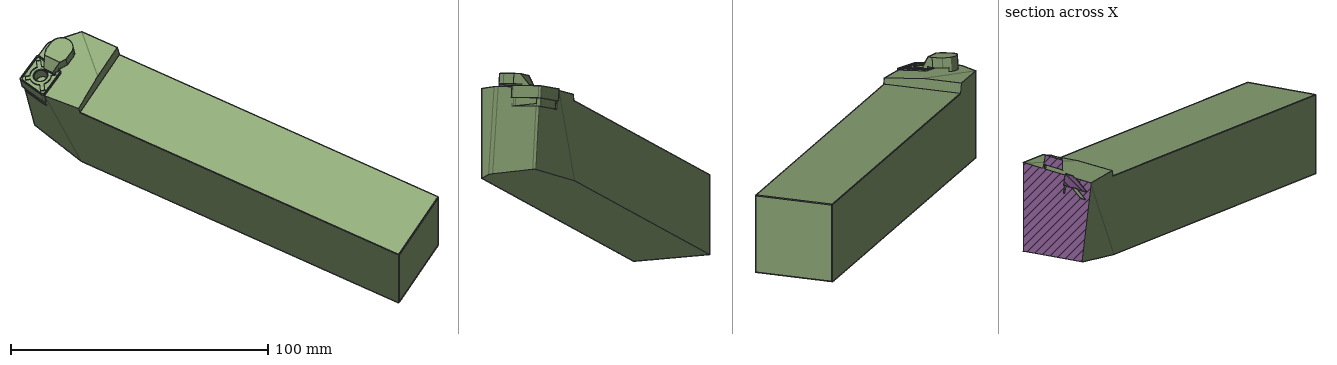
import cadquery as cq
import math

LENGTH = 170.0
WIDTH = 32.0
SHANK_HEIGHT = 32.0
HEAD_HEIGHT = 35.9
STEP_TOP_X = 27.2
STEP_FOOT_X = 28.2
END_CHAMFER = 0.3
LONG_CHAMFER = 0.2

LEAD_X = 3.9
LEAD_ANGLE = 5.0
FLANK_X = 28.9
FLANK_ANGLE = 15.0
FLANK_RELIEF = 0.5
BEVEL_X = 11.4
BACK_CORNER_RADIUS = 3.4
TIP_CORNER_RADIUS = 1.0

TILT = math.tan(math.radians(6))
RIDGE_SUM = BEVEL_X + WIDTH
TILT_ORIGIN_Z = HEAD_HEIGHT - TILT * RIDGE_SUM

INSERT_X = 6.8
INSERT_Y = 7.5
INSERT_CIRCLE = 12.7
INSERT_ACUTE = 80.0
INSERT_AXIS_ANGLE = -55.0
INSERT_THICKNESS = 4.8
INSERT_CORNER_RADIUS = 0.8
INSERT_TOP = 0.5
INSERT_HOLE = 5.1
HOLE_CHAMFER = 0.3
LAND_WIDTH = 0.5
GROOVE_DEPTH = 0.3
BOSS_DIAMETER = 8.5
LONG_RIDGE = 14.3
SHORT_RIDGE = 11.9
RIDGE_WIDTH = 1.7
SHIM_THICKNESS = 3.2
SHIM_INSET = 0.5
SHIM_SEAT_INSET = 0.3
SHIM_CORNER_RADIUS = 1.4

CLAMP_X = 10.4
CLAMP_Y = 20.2
CLAMP_HEIGHT = 5.6
CLAMP_HALF_WIDTH = 4.8
BACK_ARC_RISE = 3.7
SHOULDER_REACH = 4.5
SLOPE_REACH = 6.8
NOSE_REACH = 10.2
NOSE_LEFT = -2.5
NOSE_RIGHT = 1.5
NOSE_BASE = 1.5
RELIEF_FRONT = 7.5
RELIEF_BACK = 2.0
RELIEF_DEPTH = 1.5

insert_bottom = INSERT_TOP - INSERT_THICKNESS
shim_bottom = insert_bottom - SHIM_THICKNESS


def tilted_plane(height):
    """Work plane parallel to the tilted face, at a height along its normal."""
    face = cq.Plane((0, 0, TILT_ORIGIN_Z), (1, 0, TILT), (-TILT, -TILT, 1))
    return cq.Workplane(face).workplane(offset=height)


def head_outline(z):
    """Plan outline of the holder at height z."""
    lead = math.tan(math.radians(LEAD_ANGLE))
    flank = math.tan(math.radians(FLANK_ANGLE))
    flank_x = FLANK_X - FLANK_RELIEF * z
    tip_y = (FLANK_X - LEAD_X) * flank
    lead_foot = LEAD_X - TILT * z - tip_y * lead
    corner_y = (flank_x - lead_foot) * flank / (1 + lead * flank)
    corner_x = lead_foot + corner_y * lead
    bevel_rise = WIDTH - BEVEL_X
    back_x = (lead_foot + bevel_rise * lead) / (1 - lead)
    return [
        (corner_x, corner_y),
        (flank_x, 0),
        (LENGTH, 0),
        (LENGTH, WIDTH),
        (BEVEL_X, WIDTH),
        (back_x, back_x + bevel_rise),
    ]


def make_blank():
    """Shank and head, before the tilted face and the insert seat are cut."""
    front_x = -INSERT_CIRCLE
    profile = [
        (front_x, 0),
        (LENGTH, 0),
        (LENGTH, SHANK_HEIGHT),
        (STEP_FOOT_X, SHANK_HEIGHT),
        (STEP_TOP_X, HEAD_HEIGHT),
        (front_x, HEAD_HEIGHT),
    ]
    side = cq.Workplane("XZ").polyline(profile).close().extrude(-WIDTH)
    shank_top = (
        (STEP_FOOT_X, -END_CHAMFER, SHANK_HEIGHT - END_CHAMFER),
        (LENGTH, WIDTH + END_CHAMFER, SHANK_HEIGHT + END_CHAMFER),
    )
    long_edges = cq.selectors.BoxSelector(*shank_top)
    side = side.faces(">X").edges().chamfer(END_CHAMFER)
    side = side.edges("|X").edges(long_edges).chamfer(LONG_CHAMFER)

    base = head_outline(0)
    top = head_outline(HEAD_HEIGHT)
    head = (
        cq.Workplane("XY").polyline(base).close()
        .workplane(offset=HEAD_HEIGHT).polyline(top).close()
        .loft(ruled=True)
    )
    head = round_corner(head, base[0], top[0], TIP_CORNER_RADIUS)
    head = round_corner(head, base[-1], top[-1], BACK_CORNER_RADIUS)
    return side.intersect(head)


def round_corner(head, base_point, top_point, radius):
    """Fillet the sloping edge that joins two corners of the head outline."""
    middle = [(b + t) / 2 for b, t in zip(base_point, top_point)]
    edge = cq.selectors.NearestToPointSelector((*middle, HEAD_HEIGHT / 2))
    return head.edges(edge).fillet(radius)


def rhombus(bottom, thickness, inset, corner_radius):
    """Insert-shaped prism with its sides moved inwards by inset."""
    radius = INSERT_CIRCLE / 2 - inset
    half_long = radius / math.sin(math.radians(INSERT_ACUTE / 2))
    half_short = radius / math.cos(math.radians(INSERT_ACUTE / 2))
    corners = [(half_long, 0), (0, half_short), (-half_long, 0), (0, -half_short)]
    prism = insert_plane(bottom).polyline(corners).close().extrude(thickness)
    return prism.edges(cq.selectors.ParallelDirSelector(prism.plane.zDir)).fillet(corner_radius)


def insert_plane(height):
    """Tilted work plane centred on the insert, with x along its long diagonal."""
    plane = tilted_plane(height).center(INSERT_X, INSERT_Y).plane
    return cq.Workplane(plane.rotated((0, 0, INSERT_AXIS_ANGLE)))


def make_insert():
    """Insert with a through hole and a chip groove around its central boss."""
    groove_floor = INSERT_TOP - GROOVE_DEPTH
    boss = insert_plane(groove_floor).circle(BOSS_DIAMETER / 2).extrude(GROOVE_DEPTH)
    groove = rhombus(groove_floor, GROOVE_DEPTH, LAND_WIDTH, INSERT_CORNER_RADIUS)
    groove = groove.cut(boss)
    for ridge_size in ((LONG_RIDGE, RIDGE_WIDTH), (RIDGE_WIDTH, SHORT_RIDGE)):
        groove = groove.cut(insert_plane(groove_floor).rect(*ridge_size).extrude(GROOVE_DEPTH))
    hole = insert_plane(insert_bottom).circle(INSERT_HOLE / 2).extrude(INSERT_THICKNESS)
    countersink = (
        insert_plane(INSERT_TOP - HOLE_CHAMFER).circle(INSERT_HOLE / 2)
        .workplane(offset=HOLE_CHAMFER).circle(INSERT_HOLE / 2 + HOLE_CHAMFER)
        .loft()
    )
    body = rhombus(insert_bottom, INSERT_THICKNESS, 0, INSERT_CORNER_RADIUS)
    return body.cut(groove).cut(hole).cut(countersink)


def make_clamp():
    """Finger with a round back end, a narrowing sloping nose and a relieved underside."""
    centre = tilted_plane(0).center(CLAMP_X, CLAMP_Y).plane
    plane = centre.rotated((0, 0, -LEAD_ANGLE))
    finger = (
        cq.Workplane(plane)
        .moveTo(NOSE_LEFT, -NOSE_REACH)
        .lineTo(NOSE_RIGHT, -NOSE_REACH)
        .lineTo(CLAMP_HALF_WIDTH, -SHOULDER_REACH)
        .lineTo(CLAMP_HALF_WIDTH, 0)
        .threePointArc((0, BACK_ARC_RISE), (-CLAMP_HALF_WIDTH, 0))
        .lineTo(-CLAMP_HALF_WIDTH, -SHOULDER_REACH)
        .close()
        .extrude(CLAMP_HEIGHT)
    )
    slope = [
        (-NOSE_REACH, NOSE_BASE),
        (-SLOPE_REACH, CLAMP_HEIGHT),
        (-NOSE_REACH, CLAMP_HEIGHT),
    ]
    relief = [
        (-RELIEF_FRONT, 0),
        (RELIEF_BACK, 0),
        (RELIEF_BACK, RELIEF_DEPTH),
        (-RELIEF_FRONT, RELIEF_DEPTH),
    ]
    side_plane = cq.Plane(plane.origin, plane.yDir, plane.xDir)
    for profile in (slope, relief):
        cutter = cq.Workplane(side_plane).polyline(profile).close()
        finger = finger.cut(cutter.extrude(CLAMP_HALF_WIDTH, both=True))
    return finger


def make_holder():
    """Shank, head, shim and clamp, with the seat for the insert cut out."""
    above_tilt = tilted_plane(0).rect(2 * LENGTH, 2 * LENGTH).extrude(HEAD_HEIGHT)
    insert_seat = rhombus(insert_bottom, INSERT_THICKNESS, 0, INSERT_CORNER_RADIUS)
    shim_seat = rhombus(shim_bottom, SHIM_THICKNESS, SHIM_SEAT_INSET, INSERT_CORNER_RADIUS)
    shim = rhombus(shim_bottom, SHIM_THICKNESS, SHIM_INSET, SHIM_CORNER_RADIUS)
    body = make_blank().cut(above_tilt).union(make_clamp())
    return body.cut(insert_seat).cut(shim_seat).union(shim)


insert = make_insert()
holder = make_holder()

result = cq.Compound.makeCompound([holder.solids().val(), insert.solids().val()])